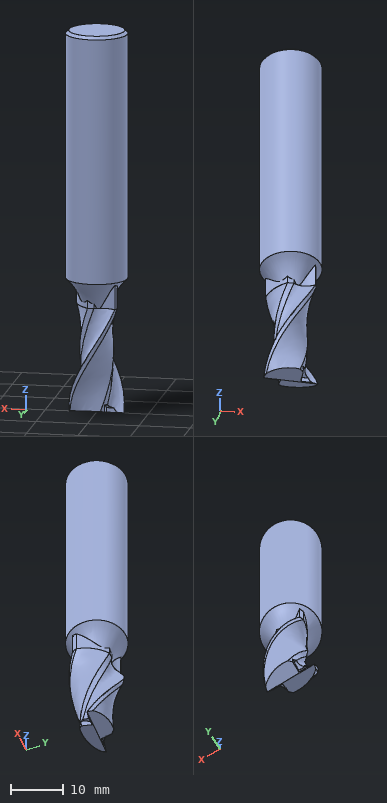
import cadquery as cq
import math

overall_length = 75.0
shank_radius = 6.0
shank_bottom = 26.1
top_chamfer = 0.6

head_length = 21.0
cutter_radius = 5.3
quarter_turn_rise = 13.4
head_twist = 90.0 * head_length / quarter_turn_rise
land_end = (5.0, 0.9)
relief_middle = (2.4, 2.55)
heel = (-1.0, 3.15)
flute_start = (-1.95, 2.4)
flute_middle = (-2.85, 1.0)
rake_end = (-4.5, 0.15)

runout_core_radius = 2.85
runout_top = 26.4
runout_bulge = (3.7, 23.4)
shoulder_height = shank_radius - cutter_radius
shoulder_drop = 1.5 * shoulder_height

end_relief_angle = 15.0
gash_height = 1.95
gash_inner = 1.95
gash_depth = 1.9
gash_floor_offset = 0.2


def opposite(point):
    """The matching point on the other tooth, half a turn away."""
    return (-point[0], -point[1])


def tooth_section():
    """Closed two-tooth outline across the axis, with its cutting edges on X."""
    edge = (cutter_radius, 0)
    return (
        cq.Workplane("XY")
        .moveTo(*edge)
        .lineTo(*land_end)
        .threePointArc(relief_middle, heel)
        .lineTo(*flute_start)
        .threePointArc(flute_middle, rake_end)
        .lineTo(*opposite(edge))
        .lineTo(*opposite(land_end))
        .threePointArc(opposite(relief_middle), opposite(heel))
        .lineTo(*opposite(flute_start))
        .threePointArc(opposite(flute_middle), opposite(rake_end))
        .close()
    )


def end_relief_envelope():
    """Prism whose underside rises on both sides of the diametral cutting edge."""
    half_width = 2 * cutter_radius
    rise = half_width * math.tan(math.radians(end_relief_angle))
    return (
        cq.Workplane("YZ")
        .polyline([(0, 0), (half_width, rise), (half_width, head_length),
                   (-half_width, head_length), (-half_width, rise)])
        .close()
        .extrude(cutter_radius + 0.75, both=True)
    )


def tip_gash():
    """Wedge cut in front of one cutting edge."""
    return (
        cq.Workplane("YZ", origin=(gash_inner, 0, 0))
        .polyline([(-gash_floor_offset, 0), (-gash_floor_offset, gash_height / 2),
                   (-gash_depth, gash_height), (-2 * gash_depth, gash_height),
                   (-2 * gash_depth, 0)])
        .close()
        .extrude(cutter_radius)
    )


def make_cutting_head():
    head = tooth_section().twistExtrude(head_length, head_twist)
    head = head.intersect(end_relief_envelope())
    for angle in (0, 180):
        head = head.cut(tip_gash().rotate((0, 0, 0), (0, 0, 1), angle))
    return head


def make_shank():
    """Round shank with a shoulder and the upper ends of the flutes."""
    blank = (
        cq.Workplane("XZ")
        .moveTo(0, head_length)
        .lineTo(cutter_radius, head_length)
        .lineTo(cutter_radius, shank_bottom - shoulder_drop)
        .lineTo(shank_radius, shank_bottom)
        .lineTo(shank_radius, overall_length - top_chamfer)
        .lineTo(shank_radius - top_chamfer, overall_length)
        .lineTo(0, overall_length)
        .close()
        .revolve(360, (0, 0, 0), (0, 1, 0))
    )
    flared_core = (
        cq.Workplane("XZ")
        .moveTo(0, head_length)
        .lineTo(runout_core_radius, head_length)
        .threePointArc(runout_bulge, (shank_radius, runout_top))
        .lineTo(shank_radius, overall_length)
        .lineTo(0, overall_length)
        .close()
        .revolve(360, (0, 0, 0), (0, 1, 0))
    )
    teeth = (
        tooth_section()
        .extrude(runout_top - head_length)
        .rotate((0, 0, 0), (0, 0, 1), head_twist)
        .translate((0, 0, head_length))
    )
    return blank.intersect(flared_core.union(teeth))


cutting_head = make_cutting_head()
shank = make_shank()
result = cq.Compound.makeCompound([*cutting_head.vals(), *shank.vals()])